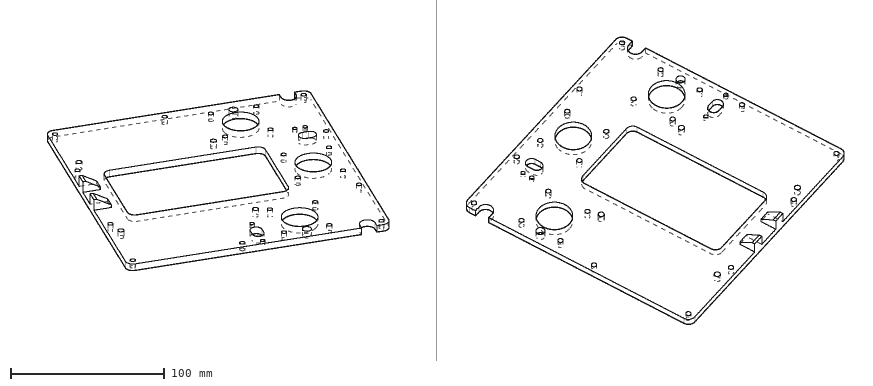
import cadquery as cq

plate_side = 180
plate_thickness = 5.0
corner_radius = 5.0
half_side = plate_side / 2

window_width = 60.0
window_length = 110.0
window_center_y = -15.0
window_corner_radius = 5.0

motor_opening_diameter = 24.0
motor_screw_spacing = 31.0
side_motor_x = 64.5
side_motor_y = 35.5
rear_motor_y = 65.0
motor_centers = [(-side_motor_x, side_motor_y), (side_motor_x, side_motor_y), (0, rear_motor_y)]

screw_diameter = 3.5
edge_screw_offset = half_side - corner_radius
edge_screw_x = 36
side_screw_y = -10.0
guide_hole_diameter = 6.0
guide_hole_x = 80.5

mount_hole_diameter = 4.0
mount_spacing = 92.0
mount_center_y = -35.0

slot_length = 12.0
slot_width = 8.0
rear_slot_center = (-35.0, 71.8)
side_slot_center = (74.2, 3.5)
pilot_diameter = 2.9
pilot_depth = plate_thickness / 2
rear_pilot_x = -45.4
rear_pilot_center_y = 70.0
rear_pilot_spacing = 7.0
side_pilot_spacing = 23.0
side_pilot_center_x = 74.5

notch_width = 10.5
notch_depth = 9.2
notch_y = 75.0

lug_width = 8.1
lug_length = 11.9
lug_height = 8.0
lug_top_length = 2.0
lug_back_height = 2.0
lug_center_x = 12.0


def square_pattern(center_x, center_y, spacing):
    """Corner points of a square around a centre."""
    half = spacing / 2
    return [(center_x + dx, center_y + dy) for dx in (-half, half) for dy in (-half, half)]


def drill_through(body, points, diameter):
    """Cut round holes through the plate."""
    tool = cq.Workplane("XY").pushPoints(points).circle(diameter / 2).extrude(plate_thickness)
    return body.cut(tool)


def cut_slot(body, center, length, width, angle):
    """Cut a round-ended slot through the plate."""
    tool = cq.Workplane("XY").center(*center).slot2D(length, width, angle).extrude(plate_thickness)
    return body.cut(tool)


def make_lug(center_x):
    """Wedge rising from its low back face to a narrow flat top at the front edge."""
    top = plate_thickness + lug_height
    back = lug_length - half_side
    profile = [
        (-half_side, plate_thickness),
        (back, plate_thickness),
        (back, plate_thickness + lug_back_height),
        (lug_top_length - half_side, top),
        (-half_side, top),
    ]
    start = cq.Workplane("YZ", origin=(center_x - lug_width / 2, 0, 0))
    return start.polyline(profile).close().extrude(lug_width)


plate = cq.Workplane("XY").rect(plate_side, plate_side).extrude(plate_thickness)
plate = plate.edges("|Z").fillet(corner_radius)
window = (
    cq.Workplane("XY")
    .center(0, window_center_y)
    .rect(window_width, window_length)
    .extrude(plate_thickness)
    .edges("|Z")
    .fillet(window_corner_radius)
)
plate = plate.cut(window)

plate = drill_through(plate, motor_centers, motor_opening_diameter)
for motor_x, motor_y in motor_centers:
    plate = drill_through(plate, square_pattern(motor_x, motor_y, motor_screw_spacing), screw_diameter)

edge_screws = square_pattern(0, 0, 2 * edge_screw_offset)
for side in (-1, 1):
    edge_screws.append((side * edge_screw_x, edge_screw_offset))
    edge_screws.append((side * edge_screw_x, -edge_screw_offset))
    edge_screws.append((side * edge_screw_offset, side_screw_y))
plate = drill_through(plate, edge_screws, screw_diameter)

guide_holes = [(-guide_hole_x, side_motor_y), (guide_hole_x, side_motor_y)]
plate = drill_through(plate, guide_holes, guide_hole_diameter)
plate = drill_through(plate, square_pattern(0, mount_center_y, mount_spacing), mount_hole_diameter)

plate = cut_slot(plate, rear_slot_center, slot_length, slot_width, 90)
plate = cut_slot(plate, side_slot_center, slot_length, slot_width, 0)

pilots = []
for side in (-1, 1):
    pilots.append((rear_pilot_x, rear_pilot_center_y + side * rear_pilot_spacing / 2))
    pilots.append((side_pilot_center_x + side * side_pilot_spacing / 2, side_slot_center[1]))
pilot_tool = (
    cq.Workplane("XY", origin=(0, 0, plate_thickness))
    .pushPoints(pilots)
    .circle(pilot_diameter / 2)
    .extrude(-pilot_depth)
)
plate = plate.cut(pilot_tool)

for side in (-1, 1):
    plate = cut_slot(plate, (side * half_side, notch_y), 2 * notch_depth, notch_width, 0)

for side in (-1, 1):
    plate = plate.union(make_lug(side * lug_center_x))

result = plate